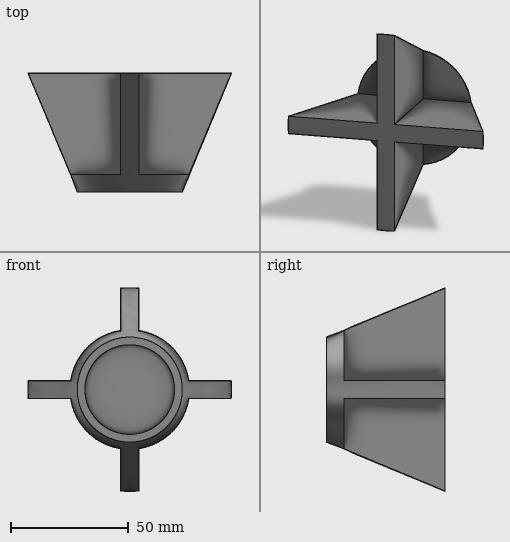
import cadquery as cq

base_radius = 43.3
nose_radius = 22.3
length = 50.5
nose_length = 7.4
fin_thickness = 7.7
recess_radius = 19.0
recess_depth = 4.5


def disc(radius, depth):
    """Solid cylinder along +Y starting at the nose face."""
    return cq.Workplane("XZ").circle(radius).extrude(-depth)


def cone_envelope():
    """Solid frustum that widens from the nose to the base."""
    profile = [(0, 0), (nose_radius, 0), (base_radius, length), (0, length)]
    return cq.Workplane("XY").polyline(profile).close().revolve(360, (0, 0, 0), (0, 1, 0))


def crossed_fins():
    """Two full-width plates crossing on the axis."""
    span = 2 * base_radius
    fins = cq.Workplane("XZ").rect(span, fin_thickness).extrude(-length)
    return fins.union(cq.Workplane("XZ").rect(fin_thickness, span).extrude(-length))


nose_and_fins = disc(base_radius, nose_length).union(crossed_fins())
body = cone_envelope().intersect(nose_and_fins)

result = body.cut(disc(recess_radius, recess_depth))